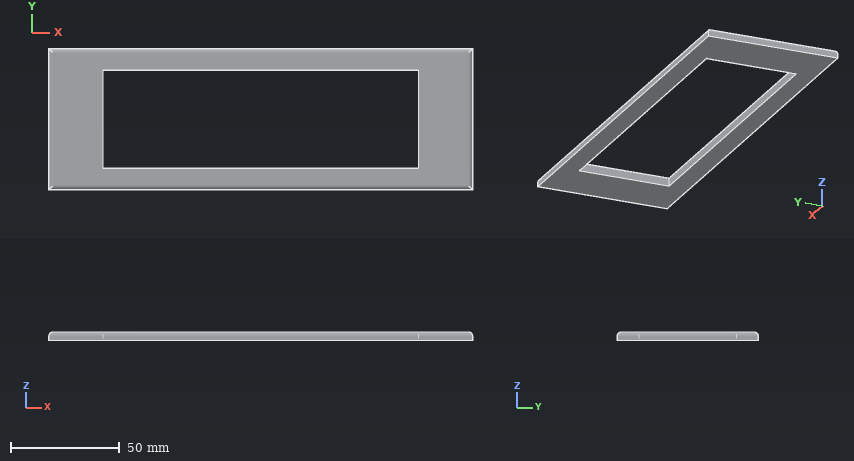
import cadquery as cq

frame_length = 195.0
frame_width = 65.0
thickness = 4.0
window_length = 145.0
window_width = 45.0
edge_radius = 2.0


def frame_plate():
    """Flat plate, centred in X and Y, with its underside at Z = 0."""
    return cq.Workplane("XY").box(
        frame_length, frame_width, thickness, centered=(True, True, False)
    )


def round_top_edges(plate):
    """Round the outer top edges; the roundings meet in mitred corners."""
    return plate.faces(">Z").edges().fillet(edge_radius)


def window_cutter():
    """Sharp-cornered rectangular window through the full thickness."""
    return cq.Workplane("XY").box(
        window_length, window_width, thickness, centered=(True, True, False)
    )


result = round_top_edges(frame_plate()).cut(window_cutter())